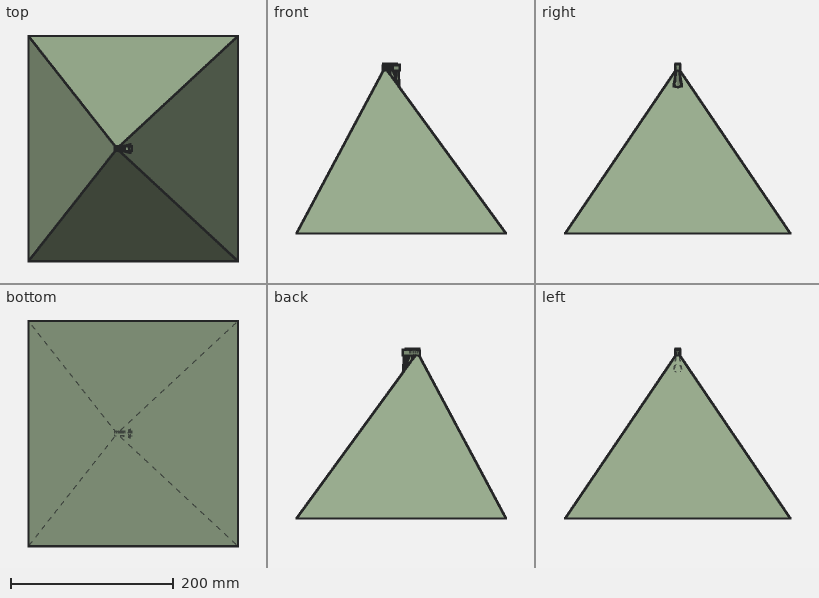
import cadquery as cq


VIEW_LENGTH_X = 257.59
VIEW_LENGTH_Y = 276.79
VIEW_RANGE = 200.0
VIEW_LEFT_X = -109.2
WINDOW_X = 5.0
WINDOW_Y = 5.6

TOTAL_HEIGHT = 208.5
BODY_LEFT_X = -3.7
BODY_LENGTH = 21.7
BODY_WIDTH = 6.4
BODY_RIGHT_X = BODY_LEFT_X + BODY_LENGTH
COVER_HEIGHT = 1.1
BODY_TOP_Z = TOTAL_HEIGHT - COVER_HEIGHT
END_STEP_LENGTH = 1.2
END_STEP_DEPTH = 1.1

COVERS = [(-2.8, -1.0), (0.6, 7.4), (9.7, 14.3)]
COVER_WIDTH = 5.8

SLOT_CENTRES_X = [2.0, 4.0, 6.0]
SLOT_SIZE_X = 0.8
SLOT_SIZE_Y = 4.0
SLOT_DEPTH = 0.6

GROOVES = [(-0.5, 0.9), (1.8, 0.9), (4.2, 0.9), (7.2, 1.6), (9.2, 0.9)]
GROOVE_DEPTH = 0.4
GROOVE_BOTTOM_Z = VIEW_RANGE + 1.2
GROOVE_HEIGHT = 4.2
SEAM_Z = VIEW_RANGE + 6.0
SEAM_SIZE = 0.3

END_PIT_DIAMETER = 1.0
END_PIT_SPACING = 3.8
END_PIT_DEPTH = 0.5
END_PIT_Z = VIEW_RANGE + 2.8

BEAM_LENGTH = 40.0
FLOOD_LEFT_X = 6.4
FLOOD_EXIT_X = 3.2
FLOOD_EXIT_Y = 4.0
FLOOD_RIGHT_SLOPE = 0.36
FLOOD_SIDE_SLOPE = 0.18
FAN_CENTRE_X = 15.1
FAN_EXIT_DIAMETER = 3.4
FAN_X_SLOPE = 0.03
FAN_Y_SLOPE = 0.14


def box(left_x, right_x, width, bottom_z, top_z):
    """Block centred on Y = 0."""
    size_x = right_x - left_x
    block = cq.Workplane("XY").box(size_x, width, top_z - bottom_z, centered=(False, True, False))
    return block.translate((left_x, 0, bottom_z))


def rectangular_beam(exit_x, exit_centre_x, exit_y, far_x, far_centre_x, far_y, length):
    """Straight-sided beam running down from the underside of the body."""
    return (
        cq.Workplane("XY", origin=(0, 0, VIEW_RANGE))
        .center(exit_centre_x, 0)
        .rect(exit_x, exit_y)
        .workplane(offset=-length)
        .center(far_centre_x - exit_centre_x, 0)
        .rect(far_x, far_y)
        .loft(ruled=True)
    )


def field_of_view():
    far_centre_x = VIEW_LEFT_X + VIEW_LENGTH_X / 2
    return rectangular_beam(
        WINDOW_X, 0, WINDOW_Y, VIEW_LENGTH_X, far_centre_x, VIEW_LENGTH_Y, VIEW_RANGE
    )


def flood_beam():
    """The left side is vertical; the right and Y sides spread."""
    far_x = FLOOD_EXIT_X + FLOOD_RIGHT_SLOPE * BEAM_LENGTH
    far_y = FLOOD_EXIT_Y + 2 * FLOOD_SIDE_SLOPE * BEAM_LENGTH
    exit_centre_x = FLOOD_LEFT_X + FLOOD_EXIT_X / 2
    far_centre_x = FLOOD_LEFT_X + far_x / 2
    return rectangular_beam(
        FLOOD_EXIT_X, exit_centre_x, FLOOD_EXIT_Y, far_x, far_centre_x, far_y, BEAM_LENGTH
    )


def fan_beam():
    """Round at the exit, spreading mostly along Y."""
    far_radius_x = FAN_EXIT_DIAMETER / 2 + FAN_X_SLOPE * BEAM_LENGTH
    far_radius_y = FAN_EXIT_DIAMETER / 2 + FAN_Y_SLOPE * BEAM_LENGTH
    return (
        cq.Workplane("XY", origin=(FAN_CENTRE_X, 0, VIEW_RANGE))
        .circle(FAN_EXIT_DIAMETER / 2)
        .workplane(offset=-BEAM_LENGTH)
        .ellipse(far_radius_x, far_radius_y)
        .loft(ruled=True)
    )


def body():
    block = box(BODY_LEFT_X, BODY_RIGHT_X, BODY_WIDTH, VIEW_RANGE, BODY_TOP_Z)
    step_right_x = BODY_LEFT_X + END_STEP_LENGTH
    block = block.cut(
        box(BODY_LEFT_X, step_right_x, BODY_WIDTH, BODY_TOP_Z - END_STEP_DEPTH, BODY_TOP_Z)
    )
    for left_x, right_x in COVERS:
        block = block.union(box(left_x, right_x, COVER_WIDTH, BODY_TOP_Z, TOTAL_HEIGHT))
    return block


def cover_slots():
    """Open-topped slots in the middle cover."""
    return (
        cq.Workplane("XY", origin=(0, 0, TOTAL_HEIGHT))
        .pushPoints([(centre_x, 0) for centre_x in SLOT_CENTRES_X])
        .rect(SLOT_SIZE_X, SLOT_SIZE_Y)
        .extrude(-SLOT_DEPTH)
    )


def front_cuts():
    """Vertical grooves and one long seam in the -Y face."""
    face_y = -BODY_WIDTH / 2
    seam = box(BODY_LEFT_X, BODY_RIGHT_X, 2 * SEAM_SIZE, SEAM_Z, SEAM_Z + SEAM_SIZE)
    cuts = seam.translate((0, face_y, 0))
    for centre_x, width in GROOVES:
        groove = box(
            centre_x - width / 2,
            centre_x + width / 2,
            2 * GROOVE_DEPTH,
            GROOVE_BOTTOM_Z,
            GROOVE_BOTTOM_Z + GROOVE_HEIGHT,
        )
        cuts = cuts.union(groove.translate((0, face_y, 0)))
    return cuts


def end_pits():
    return (
        cq.Workplane("YZ", origin=(BODY_LEFT_X, 0, END_PIT_Z))
        .pushPoints([(-END_PIT_SPACING / 2, 0), (END_PIT_SPACING / 2, 0)])
        .circle(END_PIT_DIAMETER / 2)
        .extrude(END_PIT_DEPTH)
    )


module = body().cut(cover_slots()).cut(front_cuts()).cut(end_pits())
result = field_of_view().union(flood_beam()).union(fan_beam()).union(module)